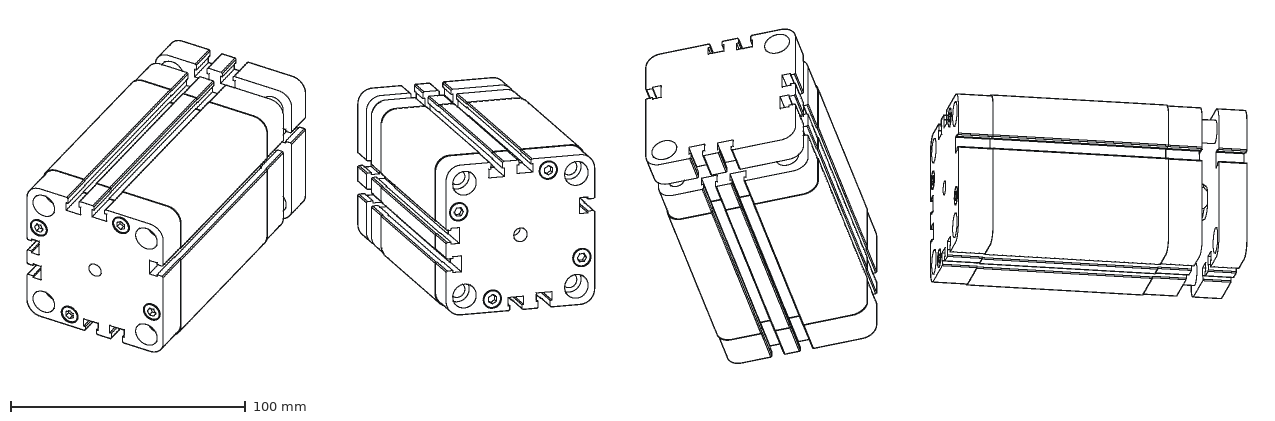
import cadquery as cq
import math

overall_length = 125.0
front_cap_length = 15.0
barrel_length = 76.0
rear_cap_length = 14.6
plate_thickness = 12.2
barrel_start = front_cap_length
barrel_end = barrel_start + barrel_length
rear_cap_end = barrel_end + rear_cap_length
plate_start = overall_length - plate_thickness

barrel_width = 67.0
cap_width = 66.4
corner_radius = 6.5

slot_neck_width = 5.3
slot_chamber_width = 7.0
slot_mouth_chamfer = 0.5
center_slot_offset = 2.05
center_slot_lip_depth = 2.2
center_slot_depth = 5.9
side_slot_offset = -10.6
side_slot_lip_depth = 3.0
side_slot_depth = 6.8
quarter_turns = (0, 90, 180, 270)
turn_without_center_slot = 90

mounting_offset = 25.0
mounting_hole_diameter = 6.65
counterbore_diameter = 10.5
counterbore_depth = 10.0
plate_hole_diameter = 11.0

guide_offset = 24.0
guide_diameter = 10.0
rod_diameter = 16.0
rod_across_flats = 13.0
rod_chamfer_length = 1.6
rod_chamfer_angle = 30.0
flat_runout_length = 1.75
flat_runout_gap = 0.2

screw_long_offset = 27.5
screw_short_offset = 12.5
screw_bore_diameter = 8.0
screw_head_diameter = 7.5
screw_gap_depth = 0.5
hex_across_flats = 3.5
hex_depth = 2.5
port_diameter = 6.0
port_depth = 10.0


def plane_at(y):
    """Sketch plane facing +Y at the given Y, with local x = -X and local y = Z."""
    return cq.Workplane(cq.Plane(origin=(0, y, 0), xDir=(-1, 0, 0), normal=(0, 1, 0)))


def turned(shape, angle):
    """Shape rotated about the part's long axis."""
    return shape.rotate((0, 0, 0), (0, 1, 0), angle)


def cylinder(diameter, start, end, x=0, z=0):
    return plane_at(start).center(-x, z).circle(diameter / 2).extrude(end - start)


def t_slot(offset, surface, lip_depth, depth, start, end):
    """Cutter for one T-slot in the +Z side at Z = surface, centred on X = offset."""
    half_neck = slot_neck_width / 2
    half_chamber = slot_chamber_width / 2
    half_mouth = half_neck + slot_mouth_chamfer
    half_outline = [
        (half_mouth, surface),
        (half_neck, surface - slot_mouth_chamfer),
        (half_neck, surface - lip_depth),
        (half_chamber, surface - lip_depth),
        (half_chamber, surface - depth),
    ]
    other_half = [(-x, z) for x, z in reversed(half_outline)]
    outline = half_outline + other_half
    return plane_at(start).center(-offset, 0).polyline(outline).close().extrude(end - start)


def profile_block(width, start, end):
    """Rounded square block with T-slots repeated around its four sides."""
    block = plane_at(start).rect(width, width).extrude(end - start)
    block = block.edges("|Y").fillet(corner_radius)
    surface = width / 2
    side_slot = t_slot(side_slot_offset, surface, side_slot_lip_depth, side_slot_depth, start, end)
    center_slot = t_slot(
        center_slot_offset, surface, center_slot_lip_depth, center_slot_depth, start, end
    )
    for turn in quarter_turns:
        block = block.cut(turned(side_slot, turn))
        if turn != turn_without_center_slot:
            block = block.cut(turned(center_slot, turn))
    return block


def piston_rod():
    """Round rod with a tapered end and two wrench flats that run out at a slope."""
    radius = rod_diameter / 2
    end_radius = radius - rod_chamfer_length * math.tan(math.radians(rod_chamfer_angle))
    taper_start = plate_start - rod_chamfer_length
    rod = (
        cq.Workplane("XY")
        .moveTo(0, barrel_end)
        .lineTo(radius, barrel_end)
        .lineTo(radius, taper_start)
        .lineTo(end_radius, plate_start)
        .lineTo(0, plate_start)
        .close()
        .revolve(360, (0, 0, 0), (0, 1, 0))
    )
    runout_end = rear_cap_end + flat_runout_gap
    half_flats = rod_across_flats / 2
    flat_cutter = (
        cq.Workplane("XY")
        .moveTo(half_flats, plate_start)
        .lineTo(half_flats, runout_end + flat_runout_length)
        .lineTo(radius, runout_end)
        .lineTo(radius, plate_start)
        .close()
        .extrude(radius, both=True)
    )
    return rod.cut(flat_cutter).cut(flat_cutter.mirror("YZ"))


def screw_recess():
    """Gap around one screw head plus its hexagon socket."""
    bore = cylinder(screw_bore_diameter, 0, screw_gap_depth)
    head = cylinder(screw_head_diameter, 0, screw_gap_depth)
    gap = bore.cut(head)
    hex_diameter = hex_across_flats / math.cos(math.pi / 6)
    socket = plane_at(0).polygon(6, hex_diameter).extrude(hex_depth)
    socket = turned(socket, 90)
    return gap.union(socket).translate((screw_short_offset, 0, screw_long_offset))


def cylinder_body():
    """Front cap, barrel and rear cap with the holes and screws of the front face."""
    front_cap = profile_block(cap_width, 0, barrel_start)
    barrel = profile_block(barrel_width, barrel_start, barrel_end)
    rear_cap = profile_block(cap_width, barrel_end, rear_cap_end)
    body = front_cap.union(barrel).union(rear_cap)
    for side_x in (-1, 1):
        for side_z in (-1, 1):
            x = side_x * mounting_offset
            z = side_z * mounting_offset
            hole_end = barrel_end if side_x == side_z else rear_cap_end
            body = body.cut(cylinder(mounting_hole_diameter, 0, hole_end, x, z))
            body = body.cut(cylinder(counterbore_diameter, 0, counterbore_depth, x, z))
    for turn in quarter_turns:
        body = body.cut(turned(screw_recess(), turn))
    return body.cut(cylinder(port_diameter, 0, port_depth))


def end_plate():
    """Plate carried by the rods, with clearance holes behind the open mounting holes."""
    plate = profile_block(cap_width, plate_start, overall_length)
    for side in (-1, 1):
        x = side * mounting_offset
        plate = plate.cut(cylinder(plate_hole_diameter, plate_start, overall_length, x, -x))
    return plate


def guide_rods():
    """Two round rods on the diagonal between the rear cap and the plate."""
    rods = cq.Workplane("XY")
    for side in (-1, 1):
        position = side * guide_offset
        rods = rods.add(cylinder(guide_diameter, rear_cap_end, plate_start, position, position))
    return rods.combine()


result = cylinder_body().union(end_plate()).union(piston_rod()).union(guide_rods())